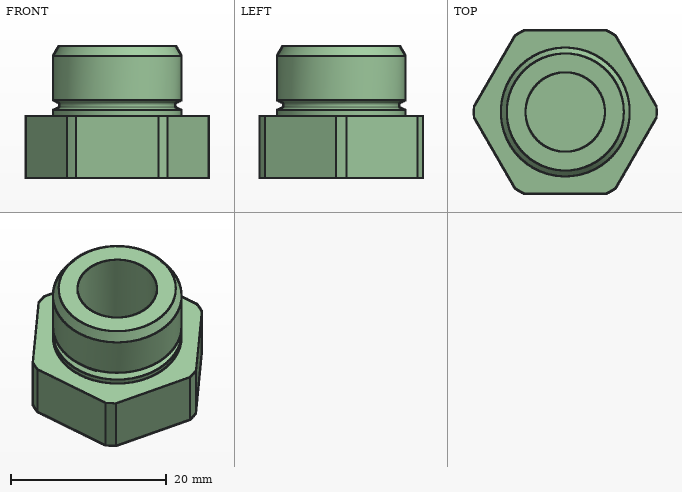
import cadquery as cq
import math

head_corner_diameter = 23.5
head_across_flats = 21.0
head_height = 8.0

total_height = 17.0
shank_diameter = 16.55
tip_diameter = 15.05
tip_chamfer_height = 1.3

collar_height = 0.75
groove_diameter = 14.95
groove_slope_height = 0.38
groove_floor_width = 0.52
groove_fillet_radius = 0.15

bore_diameter = 10.2
bore_floor_thickness = 5.0


def make_head():
    """Hexagonal prism, two flats facing along Y, trimmed by a coaxial cylinder."""
    circumscribed_diameter = head_across_flats / math.cos(math.pi / 6)
    hexagon = cq.Workplane("XY").polygon(6, circumscribed_diameter).extrude(head_height)
    corner_trim = cq.Workplane("XY").circle(head_corner_diameter / 2).extrude(head_height)
    return hexagon.intersect(corner_trim)


def make_shank():
    """Revolve the collar, undercut groove, cylinder and tip chamfer as one profile."""
    shank_radius = shank_diameter / 2
    groove_radius = groove_diameter / 2
    collar_top = head_height + collar_height
    groove_floor_bottom = collar_top + groove_slope_height
    groove_floor_top = groove_floor_bottom + groove_floor_width
    groove_top = groove_floor_top + groove_slope_height
    profile = [
        (0, head_height),
        (shank_radius, head_height),
        (shank_radius, collar_top),
        (groove_radius, groove_floor_bottom),
        (groove_radius, groove_floor_top),
        (shank_radius, groove_top),
        (shank_radius, total_height - tip_chamfer_height),
        (tip_diameter / 2, total_height),
        (0, total_height),
    ]
    shank = cq.Workplane("XZ").polyline(profile).close().revolve(360, (0, 0), (0, 1))
    floor_edges = shank.edges(
        cq.selectors.BoxSelector(
            (-shank_diameter, -shank_diameter, groove_floor_bottom - groove_slope_height / 2),
            (shank_diameter, shank_diameter, groove_floor_top + groove_slope_height / 2),
            boundingbox=True,
        )
    ).edges("%CIRCLE")
    return floor_edges.fillet(groove_fillet_radius)


def make_bore():
    bore_depth = total_height - bore_floor_thickness
    bore_start = cq.Workplane("XY").workplane(offset=bore_floor_thickness)
    return bore_start.circle(bore_diameter / 2).extrude(bore_depth)


result = make_head().union(make_shank()).cut(make_bore())